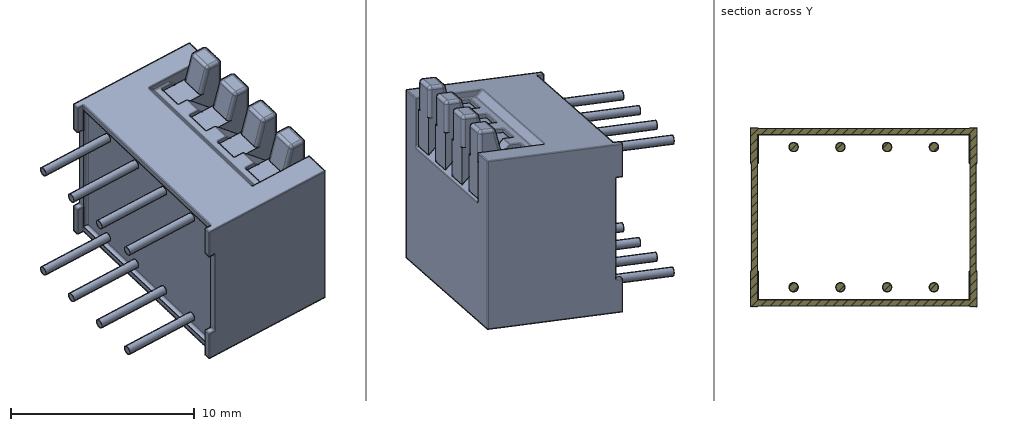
import cadquery as cq
import math


WIDTH = 12.34
HEIGHT = 9.75
BODY_DEPTH = 7.5
EDGE_RADIUS = 0.05

FOOT_LENGTH = 0.4
FOOT_WIDTH = 0.4
FOOT_HEIGHT = 1.94

RIM_WIDTH = 0.4
RECESS_DEPTH = 0.2
RECESS_RADIUS = 0.191

WINDOW_WIDTH = 9.4
LEDGE_DROP = 0.4
LEDGE_FRONT = 3.5
LEDGE_REAR = 2.5
LEDGE_Z = HEIGHT - LEDGE_DROP
WINDOW_FRONT = LEDGE_FRONT + LEDGE_DROP

PITCH = 2.54
COUNT = 4
SLIDER_WIDTH = 1.5
SLIDER_DROP = 0.25
SLOT_EXTRA_DEPTH = 0.06
SLIDER_FRONT = 3.1
SLIDER_REAR = 0.12
SLIDER_Z = LEDGE_Z - SLIDER_DROP
SLOT_FLOOR_Z = SLIDER_Z - SLOT_EXTRA_DEPTH
KNOB_TOP = 10.92
KNOB_FOOT = 1.59
KNOB_RADIUS = 0.2
KNOB_SLANT = math.radians(15)

PIN_DIAMETER = 0.5
PIN_LENGTH = 3.8
ROW_SPACING = 7.63
ROOT_DEPTH = 0.05
PIN_TIP = BODY_DEPTH + FOOT_LENGTH + PIN_LENGTH

POSITIONS = [(i - (COUNT - 1) / 2) * PITCH for i in range(COUNT)]


def box(x_range, y_range, z_range):
    """Box between two limits along each axis."""
    size = [high - low for low, high in (x_range, y_range, z_range)]
    return cq.Workplane("XY").box(*size, centered=False).translate((x_range[0], y_range[0], z_range[0]))


def prism(points, width, x_centre=0):
    """Extrude an outline of (y, z) points symmetrically along X."""
    outline = cq.Workplane("YZ").polyline(points).close()
    return outline.extrude(width / 2, both=True).translate((x_centre, 0, 0))


def make_block():
    """Housing block with the four standoff feet."""
    half = WIDTH / 2
    block = box((-half, half), (-BODY_DEPTH, 0), (0, HEIGHT))
    for x in (-half, half - FOOT_WIDTH):
        for z in (0, HEIGHT - FOOT_HEIGHT):
            foot = box((x, x + FOOT_WIDTH), (-BODY_DEPTH - FOOT_LENGTH, 0), (z, z + FOOT_HEIGHT))
            block = block.union(foot)
    return block


def make_window():
    """Window with a 45 degree front lip, a flat ledge and a 45 degree slope down to the rear wall."""
    outline = [
        (-WINDOW_FRONT, HEIGHT),
        (-LEDGE_FRONT, LEDGE_Z),
        (-LEDGE_REAR, LEDGE_Z),
        (0, LEDGE_Z - LEDGE_REAR),
        (0, HEIGHT),
    ]
    return prism(outline, WINDOW_WIDTH)


def make_slot(x):
    """Slot in the ledge for one slider, slightly deeper than the slider face."""
    half = SLIDER_WIDTH / 2
    return box((x - half, x + half), (-SLIDER_FRONT, 0), (SLOT_FLOOR_Z, HEIGHT))


def make_recess():
    """Shallow recess in the pin face with a rounded floor edge."""
    half = WIDTH / 2 - RIM_WIDTH
    recess = box(
        (-half, half),
        (-BODY_DEPTH, -BODY_DEPTH + RECESS_DEPTH),
        (RIM_WIDTH, HEIGHT - RIM_WIDTH),
    )
    return recess.faces(">Y").edges().fillet(RECESS_RADIUS)


def make_slider(x):
    """Slider plate carrying a knob with a slanted front."""
    half = SLIDER_WIDTH / 2
    knob_front_top = KNOB_FOOT - (KNOB_TOP - SLIDER_Z) * math.tan(KNOB_SLANT)
    outline = [
        (-KNOB_FOOT, SLIDER_Z),
        (-SLIDER_REAR, SLIDER_Z),
        (-SLIDER_REAR, KNOB_TOP),
        (-knob_front_top, KNOB_TOP),
    ]
    knob = prism(outline, SLIDER_WIDTH, x).edges("not <Z").fillet(KNOB_RADIUS)
    plate = box(
        (x - half, x + half),
        (-SLIDER_FRONT, -SLIDER_REAR),
        (LEDGE_Z - LEDGE_REAR, SLIDER_Z),
    )
    return plate.union(knob)


def make_pins():
    """Two rows of round pins standing on the recess floor."""
    rows = [HEIGHT / 2 + side * ROW_SPACING / 2 for side in (-1, 1)]
    root = BODY_DEPTH - RECESS_DEPTH - ROOT_DEPTH
    centres = [(x, z) for x in POSITIONS for z in rows]
    sketch = cq.Workplane("XZ", origin=(0, -root, 0)).pushPoints(centres)
    return sketch.circle(PIN_DIAMETER / 2).extrude(PIN_TIP - root)


housing = make_block().cut(make_window())
for position in POSITIONS:
    housing = housing.cut(make_slot(position))
housing = housing.edges().fillet(EDGE_RADIUS).cut(make_recess())
result = housing.union(make_pins())
for position in POSITIONS:
    result = result.union(make_slider(position))